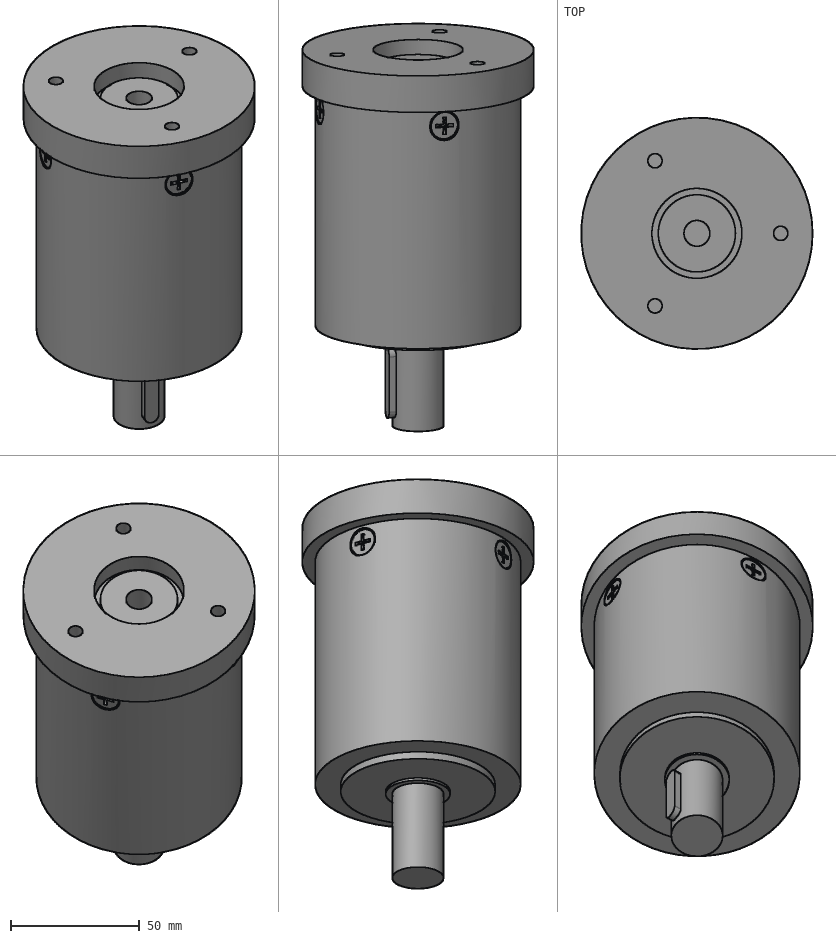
import cadquery as cq

TOTAL_HEIGHT = 150.0
FLANGE_DIAMETER = 90.0
FLANGE_THICKNESS = 14.5
BODY_DIAMETER = 80.0
BODY_BOTTOM = 40.0
STEP_DIAMETER = 60.0
STEP_BOTTOM = 37.0
COLLAR_DIAMETER = 25.0
COLLAR_BOTTOM = 36.0
SHAFT_DIAMETER = 20.0

KEY_WIDTH = 6.0
KEY_LENGTH = 28.0
KEY_BOTTOM = 3.9
KEY_TOP_X = 12.5
KEY_SEAT_X = 6.5

BORE_DIAMETER = 35.0
BORE_DEPTH = 7.8
HUB_DIAMETER = 30.0
HUB_TOP_DEPTH = 5.4
HUB_HOLE_DIAMETER = 10.0
HUB_HOLE_DEPTH = 18.0

MOUNT_HOLE_COUNT = 3
MOUNT_HOLE_DIAMETER = 5.5
MOUNT_HOLE_RADIUS = 32.5
MOUNT_HOLE_DEPTH = FLANGE_THICKNESS

SCREW_COUNT = 4
SCREW_SEAT_DIAMETER = 11.5
SCREW_HEAD_DIAMETER = 10.8
SCREW_GROOVE_DEPTH = 0.9
SCREW_HEAD_INSET = 0.5
SCREW_HEIGHT = 128.5
CROSS_SPAN = 6.9
CROSS_FLOOR_SPAN = 2.1
CROSS_WIDTH = 1.2
CROSS_DEPTH = 2.5


def cylinder(diameter, bottom, top):
    """Cylinder on the Z axis between two heights."""
    return cq.Workplane("XY").workplane(offset=bottom).circle(diameter / 2).extrude(top - bottom)


def stepped_housing():
    """Flange, body, step, collar and shaft, stacked on the Z axis."""
    flange_bottom = TOTAL_HEIGHT - FLANGE_THICKNESS
    return (
        cylinder(FLANGE_DIAMETER, flange_bottom, TOTAL_HEIGHT)
        .union(cylinder(BODY_DIAMETER, BODY_BOTTOM, flange_bottom))
        .union(cylinder(STEP_DIAMETER, STEP_BOTTOM, BODY_BOTTOM))
        .union(cylinder(COLLAR_DIAMETER, COLLAR_BOTTOM, STEP_BOTTOM))
        .union(cylinder(SHAFT_DIAMETER, 0, COLLAR_BOTTOM))
    )


def shaft_key():
    """Round-ended key, partly sunk into the shaft."""
    return (
        cq.Workplane("YZ", origin=(KEY_SEAT_X, 0, KEY_BOTTOM + KEY_LENGTH / 2))
        .slot2D(KEY_LENGTH, KEY_WIDTH, 90)
        .extrude(KEY_TOP_X - KEY_SEAT_X)
    )


def flange_recess():
    """Space removed by the bore around the hub and by the hole in the hub."""
    hub_top = TOTAL_HEIGHT - HUB_TOP_DEPTH
    bore_bottom = TOTAL_HEIGHT - BORE_DEPTH
    bore = cylinder(BORE_DIAMETER, bore_bottom, TOTAL_HEIGHT)
    hub = cylinder(HUB_DIAMETER, bore_bottom, hub_top)
    hub_hole = cylinder(HUB_HOLE_DIAMETER, hub_top - HUB_HOLE_DEPTH, hub_top)
    return bore.cut(hub).union(hub_hole)


def mounting_holes():
    """Blind holes on a circle in the flange top, the first one on +X."""
    return (
        cq.Workplane("XY", origin=(0, 0, TOTAL_HEIGHT))
        .polarArray(MOUNT_HOLE_RADIUS, 0, 360, MOUNT_HOLE_COUNT)
        .circle(MOUNT_HOLE_DIAMETER / 2)
        .extrude(-MOUNT_HOLE_DEPTH)
    )


def screw_recess():
    """Space removed around and inside the head of the screw on +X."""
    head_x = BODY_DIAMETER / 2 - SCREW_HEAD_INSET
    seat_x = head_x - SCREW_GROOVE_DEPTH
    axis_plane = cq.Workplane("YZ", origin=(seat_x, 0, SCREW_HEIGHT))
    seat = axis_plane.circle(SCREW_SEAT_DIAMETER / 2).extrude(BODY_DIAMETER / 2 - seat_x)
    head = axis_plane.circle(SCREW_HEAD_DIAMETER / 2).extrude(SCREW_GROOVE_DEPTH)

    bar = (
        cq.Workplane("XZ", origin=(head_x, 0, SCREW_HEIGHT))
        .polyline([
            (0, -CROSS_SPAN / 2),
            (0, CROSS_SPAN / 2),
            (-CROSS_DEPTH, CROSS_FLOOR_SPAN / 2),
            (-CROSS_DEPTH, -CROSS_FLOOR_SPAN / 2),
        ])
        .close()
        .extrude(CROSS_WIDTH / 2, both=True)
    )
    crossing_bar = bar.rotate((0, 0, SCREW_HEIGHT), (1, 0, SCREW_HEIGHT), 90)
    return seat.cut(head).union(bar).union(crossing_bar)


result = stepped_housing().union(shaft_key()).cut(flange_recess()).cut(mounting_holes())
for index in range(SCREW_COUNT):
    angle = index * 360 / SCREW_COUNT
    result = result.cut(screw_recess().rotate((0, 0, 0), (0, 0, 1), angle))